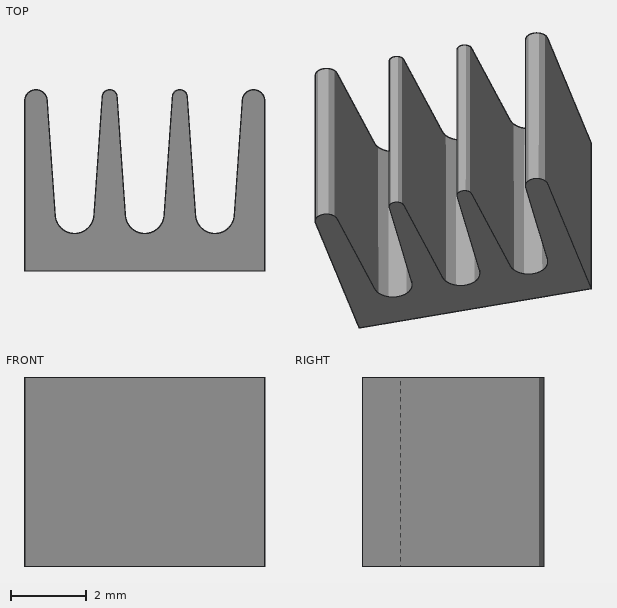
import cadquery as cq
import math

width = 6.35
depth = 4.8
height = 5.0

slot_count = 3
base_thickness = 1.0
inner_tip_radius = 0.2
outer_tip_radius = 0.3
wall_draft = math.radians(4.0)

half_width = width / 2
y_back = -depth / 2
y_tip = depth / 2
slot_depth = depth - base_thickness
draft_cos = math.cos(wall_draft)
draft_sin = math.sin(wall_draft)

inner_fin_reach = inner_tip_radius * (1 - draft_sin)
outer_fin_reach = outer_tip_radius * (1 + draft_cos - draft_sin)

slot_pitch = (half_width - (outer_fin_reach - inner_fin_reach) / draft_cos) / (slot_count / 2)
slot_radius = (slot_pitch / 2 * draft_cos - inner_fin_reach - slot_depth * draft_sin) / (1 - draft_sin)

y_slot_center = y_back + base_thickness + slot_radius
slot_centers = [(i - (slot_count - 1) / 2) * slot_pitch for i in range(slot_count)]


def tip_point(center_x, radius, side):
    """Tangent point of a tip round with the drafted wall on its left (-1) or right (+1) side."""
    return (center_x + side * radius * draft_cos, y_tip - radius + radius * draft_sin)


def slot_point(center_x, side):
    """Tangent point of a slot's round floor with its left (-1) or right (+1) wall."""
    return (center_x + side * slot_radius * draft_cos, y_slot_center - slot_radius * draft_sin)


def add_slot(outline, center_x):
    """Run down the left wall, around the floor and to the foot of the right wall."""
    floor_point = (center_x, y_slot_center - slot_radius)
    return outline.lineTo(*slot_point(center_x, -1)).threePointArc(floor_point, slot_point(center_x, 1))


def heat_sink_profile():
    outer_tip_x = half_width - outer_tip_radius
    y_outer_tip = y_tip - outer_tip_radius

    outline = cq.Workplane("XY").moveTo(-half_width, y_back).lineTo(-half_width, y_outer_tip)
    outline = outline.threePointArc((-outer_tip_x, y_tip), tip_point(-outer_tip_x, outer_tip_radius, 1))

    for center_x in slot_centers[:-1]:
        outline = add_slot(outline, center_x)
        fin_x = center_x + slot_pitch / 2
        outline = outline.lineTo(*tip_point(fin_x, inner_tip_radius, -1))
        outline = outline.threePointArc((fin_x, y_tip), tip_point(fin_x, inner_tip_radius, 1))

    outline = add_slot(outline, slot_centers[-1])
    outline = outline.lineTo(*tip_point(outer_tip_x, outer_tip_radius, -1))
    outline = outline.threePointArc((outer_tip_x, y_tip), (half_width, y_outer_tip))
    return outline.lineTo(half_width, y_back).close()


result = heat_sink_profile().extrude(height)